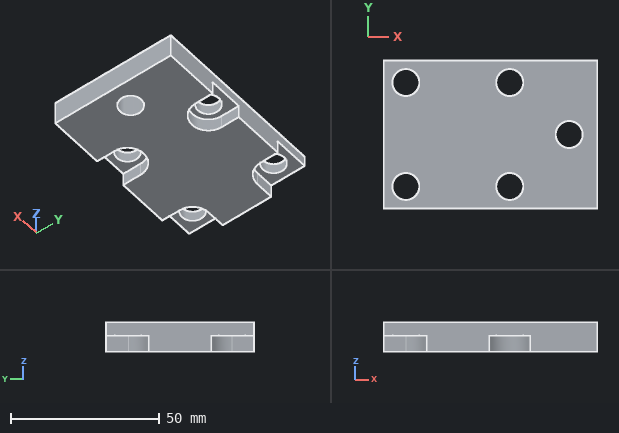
import cadquery as cq

length = 72.0
width = 50.0
height = 10.0

hole_diameter = 9.0
edge_distance = 7.5
hole_spacing = 35.0
end_hole_x = 62.5
row_x = [edge_distance, edge_distance + hole_spacing]
row_y = [edge_distance, width - edge_distance]

pocket_radius = 7.0
pocket_depth = 5.5


def block(x_min, x_max, y_min, y_max):
    """Pocket-deep box rising from the underside."""
    return cq.Workplane("XY").box(
        x_max - x_min, y_max - y_min, pocket_depth, centered=False
    ).translate((x_min, y_min, 0))


def side_pocket(x, y):
    """Round-ended slot that runs from a hole out through the nearest long side."""
    edge_y = 0 if y < width / 2 else width
    slot = block(x - pocket_radius, x + pocket_radius, min(y, edge_y), max(y, edge_y))
    round_end = cq.Workplane("XY").center(x, y).circle(pocket_radius).extrude(pocket_depth)
    return slot.union(round_end)


def corner_pocket(x, y):
    """Side pocket that also opens through the short side at X = 0."""
    edge_y = 0 if y < width / 2 else width
    inner_y = y + pocket_radius if edge_y == 0 else y - pocket_radius
    to_short_side = block(0, x, min(inner_y, edge_y), max(inner_y, edge_y))
    return side_pocket(x, y).union(to_short_side)


result = cq.Workplane("XY").box(length, width, height, centered=False)

for y in row_y:
    result = result.cut(corner_pocket(row_x[0], y))
    result = result.cut(side_pocket(row_x[1], y))

hole_centers = [(x, y) for x in row_x for y in row_y] + [(end_hole_x, width / 2)]
holes = cq.Workplane("XY").pushPoints(hole_centers).circle(hole_diameter / 2).extrude(height)
result = result.cut(holes)